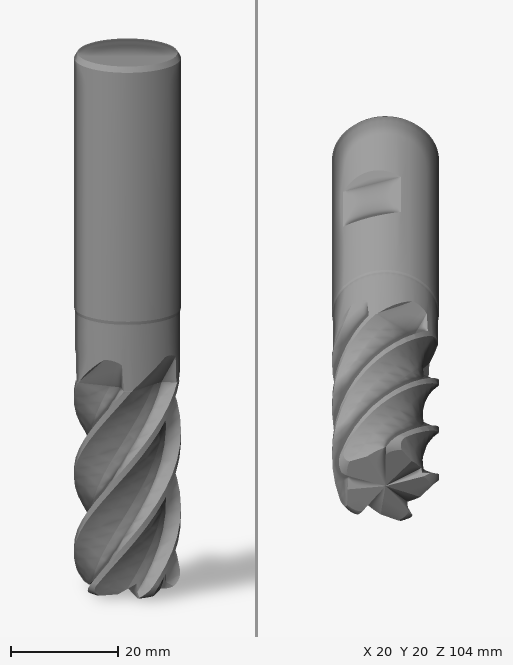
import cadquery as cq
import math

total_length = 104.0
shank_diameter = 20.0
neck_diameter = 19.7
cutting_diameter = 20.0
cutting_length = 41.0
shank_length = 50.0
shank_chamfer_length = 1.0
shank_chamfer_width = 0.6

shoulder_length = 0.6

flat_length = 11.0
flat_depth = 1.8
flat_center_from_end = 25.0

flute_count = 5
helix_angle = 40.0
land_angle = 8.0
core_radius = 7.0
floor_start_angle = 48.0
floor_end_angle = 66.0
floor_end_radius = 7.2
first_edge_angle = -36.0
corner_radius = 3.0

runout_apex_radius = 12.5
runout_apex_height = 10.1
runout_share = 0.7

end_relief_angle = 9.0
gash_tilt_angle = 22.0
gash_back_angle = 65.0
end_cut_margin = 1.0

cutting_radius = cutting_diameter / 2
flute_pitch_angle = 360 / flute_count
flute_lead = math.pi * cutting_diameter / math.tan(math.radians(helix_angle))
twist_angle = 360 * cutting_length / flute_lead


def polar(radius, angle):
    """Point of the section plane at a radius and an angle in degrees."""
    return (radius * math.cos(math.radians(angle)), radius * math.sin(math.radians(angle)))


def draw_flute(sketch, edge_angle):
    """Continue a section from the end of a land, down the flute and up to the next cutting edge."""
    floor_mid_angle = (floor_start_angle + floor_end_angle) / 2
    return (
        sketch.lineTo(*polar(core_radius, edge_angle + floor_start_angle))
        .threePointArc(
            polar(core_radius, edge_angle + floor_mid_angle),
            polar(floor_end_radius, edge_angle + floor_end_angle),
        )
        .lineTo(*polar(cutting_radius, edge_angle + flute_pitch_angle))
    )


def make_end_relief():
    """Wedge behind an end cutting edge along +X, kept inside the sector of its own tooth."""
    reach = cutting_diameter
    rise = reach * math.tan(math.radians(end_relief_angle))
    wedge = (
        cq.Workplane("YZ")
        .polyline([(0, 0), (reach, rise), (reach, -end_cut_margin), (0, -end_cut_margin)])
        .close()
        .extrude(reach)
    )
    sector = (
        cq.Workplane("XY", origin=(0, 0, -end_cut_margin))
        .polyline([(0, 0), (reach, 0), polar(reach, flute_pitch_angle)])
        .close()
        .extrude(rise + end_cut_margin)
    )
    return wedge.intersect(sector)


def make_gash():
    """V groove ahead of an end cutting edge along +X, climbing outward from the tool axis."""
    reach = cutting_diameter
    tilt = math.radians(gash_tilt_angle)
    back_width = reach * math.tan(math.radians(gash_back_angle))
    plane = cq.Plane((0, 0, 0), xDir=(0, 1, 0), normal=(math.cos(tilt), 0, math.sin(tilt)))
    return (
        cq.Workplane(plane)
        .polyline([(0, 0), (0, -reach), (-back_width, -reach)])
        .close()
        .extrude(reach)
    )


def make_cutting_end():
    """Twisted flute section with rounded end corners and ground end teeth."""
    section = cq.Workplane("XY").moveTo(*polar(cutting_radius, first_edge_angle))
    for i in range(flute_count):
        edge_angle = first_edge_angle + i * flute_pitch_angle
        section = section.threePointArc(
            polar(cutting_radius, edge_angle + land_angle / 2),
            polar(cutting_radius, edge_angle + land_angle),
        )
        section = draw_flute(section, edge_angle)
    fluted = section.close().twistExtrude(cutting_length, twist_angle)
    envelope = (
        cq.Workplane("XY").circle(cutting_radius).extrude(cutting_length)
        .faces("<Z").edges().fillet(corner_radius)
    )
    cutting_end = fluted.intersect(envelope)
    for i in range(flute_count):
        edge_angle = first_edge_angle + i * flute_pitch_angle
        for end_cut in (make_end_relief(), make_gash()):
            cutting_end = cutting_end.cut(end_cut.rotate((0, 0, 0), (0, 0, 1), edge_angle))
    return cutting_end


def make_runout(edge_angle):
    """Flute section narrowing toward an apex outside the neck, so the flute rises and closes."""
    outer_radius = cutting_diameter
    outline = cq.Workplane("XY", origin=(0, 0, cutting_length)).moveTo(
        *polar(cutting_radius, edge_angle + land_angle)
    )
    outline = draw_flute(outline, edge_angle)
    outline = outline.lineTo(*polar(outer_radius, edge_angle + flute_pitch_angle))
    outline = outline.lineTo(*polar(outer_radius, edge_angle + land_angle)).close()
    apex = cq.Vector(
        *polar(runout_apex_radius, edge_angle + flute_pitch_angle),
        cutting_length + runout_apex_height,
    )
    start = outline.val()
    end = start.translate(-apex).scale(1 - runout_share).translate(apex)
    return cq.Workplane(cq.Solid.makeLoft([start, end], True))


def make_clamping_flat():
    """Recess across the +Y side with 45 degree end walls."""
    shank_radius = shank_diameter / 2
    flat_z = total_length - flat_center_from_end
    half_length = flat_length / 2
    return (
        cq.Workplane("YZ")
        .polyline([
            (shank_radius - flat_depth, flat_z - half_length),
            (shank_radius, flat_z - half_length - flat_depth),
            (shank_radius, flat_z + half_length + flat_depth),
            (shank_radius - flat_depth, flat_z + half_length),
        ])
        .close()
        .extrude(shank_diameter, both=True)
    )


def make_shank():
    """Shank and neck, with the clamping flat and the flute run-outs."""
    shank_start = total_length - shank_length
    body = (
        cq.Workplane("XZ")
        .moveTo(0, cutting_length)
        .lineTo(neck_diameter / 2, cutting_length)
        .lineTo(neck_diameter / 2, shank_start)
        .lineTo(shank_diameter / 2, shank_start + shoulder_length)
        .lineTo(shank_diameter / 2, total_length - shank_chamfer_length)
        .lineTo(shank_diameter / 2 - shank_chamfer_width, total_length)
        .lineTo(0, total_length)
        .close()
        .revolve(360, (0, 0), (0, 1))
    )
    body = body.cut(make_clamping_flat())
    for i in range(flute_count):
        body = body.cut(make_runout(first_edge_angle + twist_angle + i * flute_pitch_angle))
    return body


cutting_end = make_cutting_end()
shank = make_shank()
result = cq.Compound.makeCompound([cutting_end.solids().val(), shank.solids().val()])